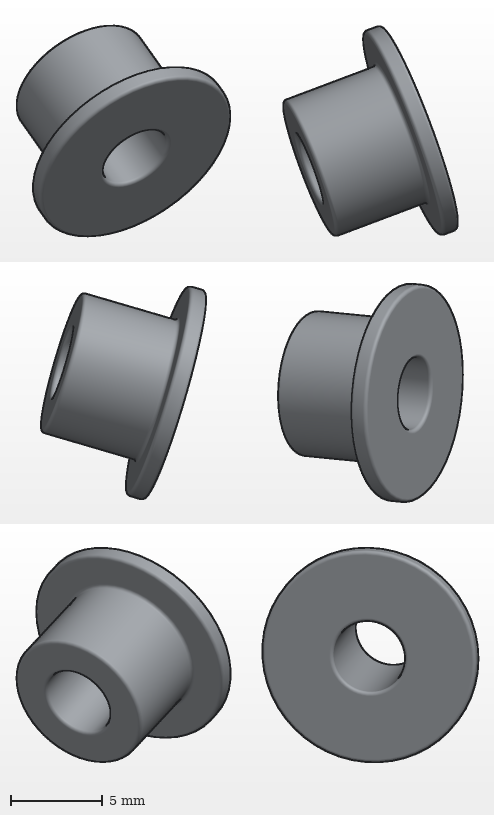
import cadquery as cq

flange_diameter = 12.0
barrel_diameter = 8.0
bore_diameter = 4.0
total_length = 6.5
flange_thickness = 1.0
edge_radius = 0.2

barrel_length = total_length - flange_thickness


def disc(diameter, start, length):
    """Solid cylinder along +X, beginning at X = start."""
    return cq.Workplane("YZ", origin=(start, 0, 0)).circle(diameter / 2).extrude(length)


barrel = disc(barrel_diameter, 0, total_length)
flange = disc(flange_diameter, barrel_length, flange_thickness)
body = barrel.union(flange)

bushing = body.cut(disc(bore_diameter, 0, total_length))

result = bushing.edges("%CIRCLE").fillet(edge_radius)